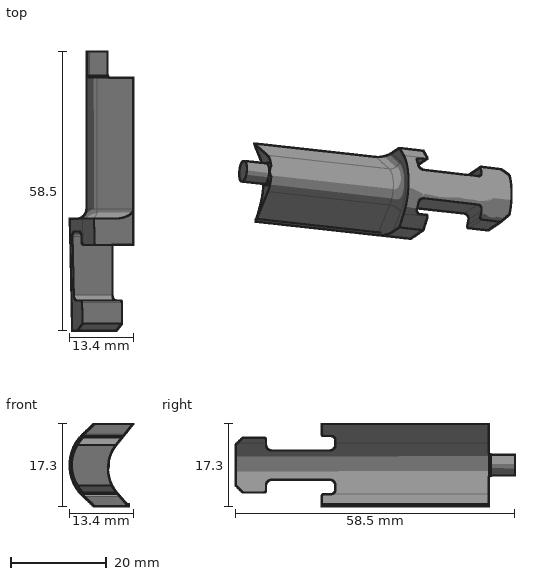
import cadquery as cq
import math

LUG_CHAMFER = 1.5
LUG_BACK = 6.4
HEAD_FRONT = 18.0
RECESS_BACK = 20.85
SHOULDER = 23.5
BODY_BACK = 53.0
PIN_END = 58.52

HALF_HEIGHT = 17.3 / 2
LUG_HALF = 5.75
NECK_HALF = 3.1
RECESS_HALF = 6.05

NECK_FILLET = 1.1
RECESS_FILLET = 0.85
CORNER_FILLET = 0.5
SHOULDER_FILLET = 2.0

OUTER_RADIUS = 8.8
OUTER_CENTER_X = OUTER_RADIUS
FRONT_INSET = 0.5
OUTER_FRONT_RADIUS = OUTER_RADIUS - FRONT_INSET
OUTER_FLAT_ANGLE = 46.5

INNER_LEFT_X = 8.08
INNER_RADIUS = 8.0
INNER_CENTER_Z = -0.7
INNER_FLAT_ANGLE = 41.5
TIP_X = 13.36
LIP_X = 12.48
LIP_HEIGHT = 0.5

BODY_LEFT_X = 3.53
BODY_RADIUS = 4.73
BODY_CENTER_X = BODY_LEFT_X + BODY_RADIUS

PIN_RADIUS = 4.4 / 2
PIN_CENTER_X = 5.8
PIN_ROOT_LENGTH = 0.5
PIN_ROOT_FLARE = 0.25

FAR = 30.0
PLATE_THICKNESS = 5.0
SELECT_MARGIN = 0.1


def section_plane(y):
    """Plane across the part at station y, with X to the right and Z up."""
    return cq.Workplane("XZ", origin=(0, y, 0))


def on_circle(center_x, center_z, radius, angle):
    """Point on a circle; the angle is measured from -X toward +Z, in degrees."""
    a = math.radians(angle)
    return (center_x - radius * math.cos(a), center_z + radius * math.sin(a))


def along_flat(start, angle, z):
    """Point at height z on the line tangent to a circle at start, whose normal has this angle."""
    return (start[0] + (z - start[1]) * math.tan(math.radians(angle)), z)


def tangent_angle(point_x, point_z, center_x, radius):
    """Angle at which the line from a point on the right touches a circle centred at z = 0."""
    dx = point_x - center_x
    direction = math.atan2(point_z, -dx)
    return math.degrees(direction - math.acos(radius / math.hypot(dx, point_z)))


def outer_outline(plane, radius):
    """Outline bounded on the left by the convex outer wall and open to the far right."""
    upper = on_circle(OUTER_CENTER_X, 0, radius, OUTER_FLAT_ANGLE)
    lower = on_circle(OUTER_CENTER_X, 0, radius, -OUTER_FLAT_ANGLE)
    return (
        plane.moveTo(FAR, HALF_HEIGHT)
        .lineTo(*along_flat(upper, OUTER_FLAT_ANGLE, HALF_HEIGHT))
        .lineTo(*upper)
        .threePointArc((OUTER_CENTER_X - radius, 0), lower)
        .lineTo(*along_flat(lower, -OUTER_FLAT_ANGLE, -HALF_HEIGHT))
        .lineTo(FAR, -HALF_HEIGHT)
        .close()
    )


def tapered_front():
    """Head, neck and lug envelope, narrowing toward the front."""
    sections = outer_outline(section_plane(SHOULDER), OUTER_RADIUS)
    sections = sections.copyWorkplane(section_plane(0))
    return outer_outline(sections, OUTER_FRONT_RADIUS).loft(ruled=True, combine=True)


def side_prism():
    """Side outline of lug, neck and head with its two recesses, swept along X."""
    upper = [
        (0, LUG_HALF - LUG_CHAMFER),
        (LUG_CHAMFER, LUG_HALF),
        (LUG_BACK, LUG_HALF),
        (LUG_BACK, NECK_HALF),
        (RECESS_BACK, NECK_HALF),
        (RECESS_BACK, RECESS_HALF),
        (HEAD_FRONT, RECESS_HALF),
        (HEAD_FRONT, HALF_HEIGHT),
        (SHOULDER, HALF_HEIGHT),
    ]
    lower = [(y, -z) for y, z in reversed(upper)]
    prism = cq.Workplane("YZ").polyline(upper + lower).close().extrude(FAR)
    rounded_corners = [
        (LUG_BACK, NECK_HALF, NECK_FILLET),
        (RECESS_BACK, NECK_HALF, NECK_FILLET),
        (RECESS_BACK, RECESS_HALF, RECESS_FILLET),
        (LUG_BACK, LUG_HALF, CORNER_FILLET),
        (HEAD_FRONT, RECESS_HALF, CORNER_FILLET),
    ]
    for y, z, radius in rounded_corners:
        for side in (1, -1):
            corner = cq.selectors.NearestToPointSelector((FAR / 2, y, side * z))
            prism = prism.edges("|X").edges(corner).fillet(radius)
    return prism


def body_wedge(length):
    """Round-nosed wedge behind the shoulder, continued past the inner wall."""
    upper_angle = tangent_angle(TIP_X, HALF_HEIGHT, BODY_CENTER_X, BODY_RADIUS)
    lower_angle = -tangent_angle(LIP_X, HALF_HEIGHT, BODY_CENTER_X, BODY_RADIUS)
    upper = on_circle(BODY_CENTER_X, 0, BODY_RADIUS, upper_angle)
    lower = on_circle(BODY_CENTER_X, 0, BODY_RADIUS, lower_angle)
    upper_far = upper[1] + (FAR - upper[0]) / math.tan(math.radians(upper_angle))
    lower_far = lower[1] + (FAR - lower[0]) / math.tan(math.radians(lower_angle))
    return (
        section_plane(SHOULDER)
        .moveTo(FAR, upper_far)
        .lineTo(*upper)
        .threePointArc((BODY_LEFT_X, 0), lower)
        .lineTo(FAR, lower_far)
        .close()
        .extrude(-length)
    )


def body():
    """Wedge blended into the shoulder, trimmed to the head outline."""
    plate = section_plane(SHOULDER).rect(2 * FAR, 2 * FAR).extrude(PLATE_THICKNESS)
    blended = plate.union(body_wedge(BODY_BACK - SHOULDER))
    nose_root = cq.selectors.BoxSelector(
        (-FAR, SHOULDER - SELECT_MARGIN, -FAR),
        (FAR - SELECT_MARGIN, SHOULDER + SELECT_MARGIN, FAR),
    )
    blended = blended.edges(nose_root).fillet(SHOULDER_FILLET)
    envelope = outer_outline(section_plane(SHOULDER), OUTER_RADIUS).extrude(SHOULDER - BODY_BACK)
    return blended.intersect(envelope)


def inner_void():
    """Space to the right of the concave inner wall, over the whole length."""
    center_x = INNER_LEFT_X + INNER_RADIUS
    upper = on_circle(center_x, INNER_CENTER_Z, INNER_RADIUS, INNER_FLAT_ANGLE)
    lower = on_circle(center_x, INNER_CENTER_Z, INNER_RADIUS, -INNER_FLAT_ANGLE)
    lip_top = LIP_HEIGHT - HALF_HEIGHT
    return (
        section_plane(0)
        .moveTo(2 * FAR, HALF_HEIGHT)
        .lineTo(TIP_X, HALF_HEIGHT)
        .lineTo(*upper)
        .threePointArc((INNER_LEFT_X, INNER_CENTER_Z), lower)
        .lineTo(*along_flat(lower, -INNER_FLAT_ANGLE, lip_top))
        .lineTo(LIP_X, lip_top)
        .lineTo(LIP_X, -FAR)
        .lineTo(2 * FAR, -FAR)
        .close()
        .extrude(-BODY_BACK)
    )


def pin():
    """Locating pin on the back face, with a flared root trimmed flush with the body."""
    root_end = BODY_BACK + PIN_ROOT_LENGTH
    flared = (
        cq.Workplane("XY", origin=(PIN_CENTER_X, 0, 0))
        .moveTo(0, BODY_BACK)
        .lineTo(PIN_RADIUS + PIN_ROOT_FLARE, BODY_BACK)
        .lineTo(PIN_RADIUS, root_end)
        .lineTo(PIN_RADIUS, PIN_END)
        .lineTo(0, PIN_END)
        .close()
        .revolve(360, (0, 0, 0), (0, 1, 0))
    )
    return flared.intersect(body_wedge(PIN_END - SHOULDER))


front = tapered_front().intersect(side_prism())
result = front.union(body()).cut(inner_void()).union(pin())